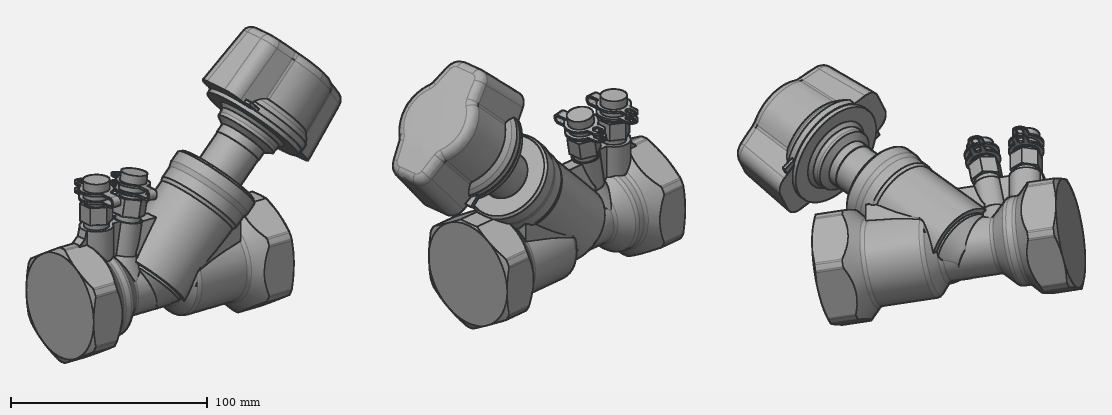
import cadquery as cq
import math


BODY_LENGTH = 128.6
HEX_FLATS = 56.0
HEX_CORNER_RADIUS = 31.2
HEX_EDGE_BREAK = 1.4
HEX_CONE_START = 15.2
OUTLET_HEX_CONE_START = 15.9
OUTLET_HEX_TOP = 29.0
SHOULDER_RADIUS = 22.9
INLET_SHOULDER_END = 29.2
THROAT_RADIUS = 15.05
THROAT_START = 37.5
THROAT_END = 66.0
OUTLET_PIPE_START = 72.5
OUTLET_PIPE_RADIUS = 22.4
BLEND_RADIUS = 3.0
HEX_CORNER_FILLET = 2.0
BARREL_INSET = 1.0

BONNET_TILT = 45.0
BONNET_Y = 54.9
BONNET_RADIUS = 22.0
BONNET_BOTTOM = 2.7
SEAT_DEPTH = 8.0
SEAT_RADIUS = 13.0
SEAT_LAND_RADIUS = 19.5
SEAT_LAND_BOTTOM = 1.2
LOWER_BAND_RADIUS = 22.7
LOWER_BAND_BOTTOM = 46.5
LOWER_BAND_TOP = 48.6
COLLAR_RADIUS = 23.6
COLLAR_CONE_BOTTOM = 55.0
COLLAR_BAND_BOTTOM = 57.9
COLLAR_TOP = 65.3
COLLAR_BREAK = 1.3
STEM_RADIUS = 12.6
STEM_SLEEVE_RADIUS = 12.9
STEM_SLEEVE_START = 83.5
NECK_BOTTOM = 88.5
NECK_RADIUS = 17.0
NECK_BAND_BOTTOM = 91.0
NECK_BAND_TOP = 93.0
NECK_TOP_RADIUS = 17.5
NECK_FLARE = 2.0
RING_BOTTOM = 97.3
RING_RADIUS = 56.77 / 2
PLATE_RADIUS = 27.9
PLATE_TOP = 100.0
RING_SLOPE_RADIUS = 26.8
RING_TOP_RADIUS = 24.6
RING_RIM_TOP = 103.7
RING_SLOPE_TOP = 106.5
RING_TOP = 109.2
HANDLE_BOTTOM = 99.7
HANDLE_TOP = 138.6
HANDLE_RADIUS = 25.4
HANDLE_DRAFT = 4.0
CROWN_RADIUS = 280.0
LOBE_SPAN = 72.4
LOBE_END_WIDTH = 27.0
LOBE_FLARE = 14.0
LOBE_CORNER_RADIUS = 8.0
LOBE_ROOT_RADIUS = 3.0
LOBE_ROOT_ANGLE = 42.0
LUG_X = (12.0, 19.8)
LUG_REACH = (20.0, 27.5)
LUG_THICKNESS = 1.8
HANDLE_TOP_FILLET = 5.0

FITTING_NECK_RADIUS = 6.5
FITTING_NECK_HEIGHT = 3.1
FITTING_HEX_FLATS = 14.6
FITTING_HEX_TOP = 12.5
FITTING_GROOVE_RADIUS = 6.1
FITTING_CAP_RADIUS = 6.8
FITTING_CAP_BOTTOM = 14.5
FITTING_HEIGHT = 25.2
STRAP_THICKNESS = 1.1
STRAP_HEIGHTS = (14.9, 19.3)
STRAP_DISC_RADIUS = 8.9
STRAP_TAB_X = -12.0
STRAP_TAB_WIDTH = 7.5
STRAP_SLOT_LENGTH = 6.0
STRAP_SLOT_WIDTH = 3.4
STRAP_TAIL_WIDTH = 5.0
STRAP_BEND_X = 14.4
INLET_FITTING_Y = 23.4
INLET_BOSS_RADIUS = 8.7
INLET_BOSS_TOP = 38.3
THROAT_FITTING_Y = 43.5
THROAT_FITTING_TILT = 9.7
THROAT_BOSS_RADIUS = 7.4
THROAT_BOSS_TOP = 36.7
FLARE_TOP = 19.0
FLARE_BOTTOM = 6.0
FLARE_RADIUS = 13.5
WEB_THICKNESS = 6.0
WEB_START_Y = 10.0
WEB_START_HEIGHT = 30.6
WEB_TIP_Y = 13.7
WEB_TIP_HEIGHT = 34.0
WEB_STEP_Y = 36.0
WEB_END_Y = 59.0
WEB_END_TOP = 35.0
WEB_CREST_WIDTH = 7.0
WEB_FOOT_WIDTH = 21.0

GUSSET_Y = (71.0, 103.5)
GUSSET_HALF_WIDTHS = (21.3, 16.4)
GUSSET_TOP = 25.0
GUSSET_LEAN = 8.0


def turned(profile):
    """Revolve a (radius, height) profile about the local Z axis."""
    return cq.Workplane("XZ").polyline(profile).close().revolve(360, (0, 0, 0), (0, 1, 0))


def cylinder(radius, bottom, top):
    return cq.Workplane("XY").workplane(offset=bottom).circle(radius).extrude(top - bottom)


def lean(shape, tilt, y, z=0):
    """Tip a shape built along Z toward +Y, then move its origin to (0, y, z)."""
    return shape.rotate((0, 0, 0), (1, 0, 0), -tilt).translate((0, y, z))


def along_pipe(shape):
    return shape.rotate((0, 0, 0), (1, 0, 0), -90)


def hexagon(flats, bottom, top, corner_angle=0.0):
    across_corners = flats / math.cos(math.pi / 6)
    prism = cq.Workplane("XY").workplane(offset=bottom).polygon(6, across_corners).extrude(top - bottom)
    return prism.rotate((0, 0, 0), (0, 0, 1), corner_angle)


def hex_end(cone_start, pipe_radius):
    """Hexagon end from Z = 0 upward, chamfered at the face and coned down to the pipe."""
    face_radius = HEX_FLATS / 2
    cone_end = cone_start + HEX_CORNER_RADIUS - pipe_radius
    trim = turned([
        (0, 0),
        (face_radius, 0),
        (HEX_CORNER_RADIUS, HEX_EDGE_BREAK),
        (HEX_CORNER_RADIUS, cone_start),
        (pipe_radius, cone_end),
        (0, cone_end),
    ])
    prism = hexagon(HEX_FLATS, 0, cone_end, 90).intersect(cylinder(HEX_CORNER_RADIUS, 0, cone_end))
    return prism.edges("|Z").fillet(HEX_CORNER_FILLET).intersect(trim)


def pipe_body():
    barrel = turned([
        (0, BARREL_INSET),
        (SHOULDER_RADIUS, BARREL_INSET),
        (SHOULDER_RADIUS, INLET_SHOULDER_END),
        (THROAT_RADIUS, THROAT_START),
        (THROAT_RADIUS, THROAT_END),
        (OUTLET_PIPE_RADIUS, OUTLET_PIPE_START),
        (OUTLET_PIPE_RADIUS, BODY_LENGTH - BARREL_INSET),
        (0, BODY_LENGTH - BARREL_INSET),
    ])
    inlet = hex_end(HEX_CONE_START, SHOULDER_RADIUS)
    outlet = hex_end(OUTLET_HEX_CONE_START, OUTLET_PIPE_RADIUS)
    body = barrel.union(inlet).union(outlet.mirror("XY").translate((0, 0, BODY_LENGTH)))
    first_bend = (-HEX_FLATS, -HEX_FLATS, HEX_CONE_START + BLEND_RADIUS)
    last_bend = (HEX_FLATS, HEX_FLATS, BODY_LENGTH - OUTLET_HEX_CONE_START - BLEND_RADIUS)
    bends = body.edges(cq.selectors.BoxSelector(first_bend, last_bend))
    body = along_pipe(bends.fillet(BLEND_RADIUS))
    clearance = cq.Workplane("XY").box(HEX_FLATS, BODY_LENGTH, HEX_FLATS)
    return body.cut(clearance.translate((0, BODY_LENGTH, OUTLET_HEX_TOP + HEX_FLATS / 2)))


def bonnet():
    return turned([
        (0, -SEAT_DEPTH),
        (SEAT_RADIUS, -SEAT_DEPTH),
        (SEAT_LAND_RADIUS, SEAT_LAND_BOTTOM),
        (SEAT_LAND_RADIUS, BONNET_BOTTOM),
        (BONNET_RADIUS, BONNET_BOTTOM),
        (BONNET_RADIUS, LOWER_BAND_BOTTOM),
        (LOWER_BAND_RADIUS, LOWER_BAND_TOP),
        (LOWER_BAND_RADIUS, COLLAR_CONE_BOTTOM),
        (COLLAR_RADIUS, COLLAR_BAND_BOTTOM),
        (COLLAR_RADIUS, COLLAR_TOP - COLLAR_BREAK),
        (COLLAR_RADIUS - COLLAR_BREAK, COLLAR_TOP),
        (0, COLLAR_TOP),
    ])


def stem_and_neck():
    return turned([
        (0, 0),
        (STEM_RADIUS, 0),
        (STEM_RADIUS, STEM_SLEEVE_START),
        (STEM_SLEEVE_RADIUS, STEM_SLEEVE_START),
        (STEM_SLEEVE_RADIUS, NECK_BOTTOM),
        (NECK_RADIUS, NECK_BAND_BOTTOM),
        (NECK_RADIUS, NECK_BAND_TOP),
        (NECK_TOP_RADIUS, RING_BOTTOM - NECK_FLARE),
        (NECK_TOP_RADIUS + NECK_FLARE, RING_BOTTOM),
        (PLATE_RADIUS, RING_BOTTOM),
        (PLATE_RADIUS, PLATE_TOP),
        (RING_RADIUS, PLATE_TOP),
        (RING_RADIUS, RING_RIM_TOP),
        (RING_SLOPE_RADIUS, RING_SLOPE_TOP),
        (RING_TOP_RADIUS, RING_TOP),
        (0, RING_TOP),
    ])


def lobe_pair(height):
    """Two opposed grip lobes that widen from their ends toward the handle axis."""
    end_y = LOBE_SPAN / 2
    end_x = LOBE_END_WIDTH / 2
    middle_x = end_x + end_y * math.tan(math.radians(LOBE_FLARE))
    outline = [
        (end_x, end_y),
        (middle_x, 0),
        (end_x, -end_y),
        (-end_x, -end_y),
        (-middle_x, 0),
        (-end_x, end_y),
    ]
    lobes = cq.Workplane("XY").polyline(outline).close().extrude(height, taper=HANDLE_DRAFT)
    for x in (-end_x, end_x):
        for y in (-end_y, end_y):
            corner = cq.selectors.NearestToPointSelector((x, y, height / 2))
            lobes = lobes.edges(corner).fillet(LOBE_CORNER_RADIUS)
    return lobes


def lug():
    width = LUG_X[1] - LUG_X[0]
    length = LUG_REACH[1] - LUG_REACH[0]
    block = cq.Workplane("XY").box(width, length, LUG_THICKNESS, centered=False)
    return block.translate((LUG_X[0], -LUG_REACH[1], PLATE_TOP))


def handle():
    height = HANDLE_TOP - HANDLE_BOTTOM
    drum = cq.Workplane("XY").circle(HANDLE_RADIUS).extrude(height, taper=HANDLE_DRAFT)
    lobes = lobe_pair(height)
    root_angle = math.radians(LOBE_ROOT_ANGLE)
    grip = drum.union(lobes)
    root_x = HANDLE_RADIUS * math.sin(root_angle)
    root_y = HANDLE_RADIUS * math.cos(root_angle)
    for x in (-root_x, root_x):
        for y in (-root_y, root_y):
            root = cq.selectors.NearestToPointSelector((x, y, height / 2))
            grip = grip.edges(root).fillet(LOBE_ROOT_RADIUS)
    crown = cq.Workplane("XY").sphere(CROWN_RADIUS).translate((0, 0, height - CROWN_RADIUS))
    grip = grip.intersect(crown)
    grip = grip.faces("%SPHERE").edges().fillet(HANDLE_TOP_FILLET)
    grip = grip.translate((0, 0, HANDLE_BOTTOM))
    opposite_lug = lug().rotate((0, 0, 0), (0, 0, 1), 180)
    return grip.union(lug()).union(opposite_lug)


def strap_leaf(bottom):
    def sheet(x):
        return cq.Workplane("XY", origin=(x, 0, bottom))

    disc = sheet(0).circle(STRAP_DISC_RADIUS).extrude(STRAP_THICKNESS)
    tab_length = STRAP_TAB_WIDTH - STRAP_TAB_X
    tab = sheet(STRAP_TAB_X / 2).slot2D(tab_length, STRAP_TAB_WIDTH).extrude(STRAP_THICKNESS)
    tail = sheet(STRAP_BEND_X / 2).rect(STRAP_BEND_X, STRAP_TAIL_WIDTH).extrude(STRAP_THICKNESS)
    slot = sheet(STRAP_TAB_X).slot2D(STRAP_SLOT_LENGTH, STRAP_SLOT_WIDTH).extrude(STRAP_THICKNESS)
    return disc.union(tab).union(tail).cut(slot)


def strap():
    """Two leaves round the cap, joined at the tail by a half-round bend."""
    low, high = STRAP_HEIGHTS
    outer = (high + STRAP_THICKNESS - low) / 2
    bend = (
        cq.Workplane("XZ")
        .center(STRAP_BEND_X, low + outer)
        .circle(outer)
        .circle(outer - STRAP_THICKNESS)
        .extrude(STRAP_TAIL_WIDTH / 2, both=True)
    )
    half_space = cq.Workplane("XY").box(outer, STRAP_TAIL_WIDTH, 2 * outer, centered=(False, True, False))
    beyond = half_space.translate((STRAP_BEND_X, 0, low))
    return strap_leaf(low).union(strap_leaf(high)).union(bend.intersect(beyond))


def fitting():
    groove = cylinder(FITTING_GROOVE_RADIUS, 0, FITTING_HEIGHT)
    neck = cylinder(FITTING_NECK_RADIUS, 0, FITTING_NECK_HEIGHT)
    nut = hexagon(FITTING_HEX_FLATS, FITTING_NECK_HEIGHT, FITTING_HEX_TOP)
    cap = cylinder(FITTING_CAP_RADIUS, FITTING_CAP_BOTTOM, FITTING_HEIGHT)
    return groove.union(neck).union(nut).union(cap).union(strap())


def inlet_fitting():
    boss = cylinder(INLET_BOSS_RADIUS, -INLET_BOSS_TOP, 0)
    return lean(fitting().union(boss), 0, INLET_FITTING_Y, INLET_BOSS_TOP)


def throat_fitting():
    boss = turned([
        (0, -THROAT_BOSS_TOP),
        (FLARE_RADIUS, -THROAT_BOSS_TOP),
        (FLARE_RADIUS, FLARE_BOTTOM - THROAT_BOSS_TOP),
        (THROAT_BOSS_RADIUS, FLARE_TOP - THROAT_BOSS_TOP),
        (THROAT_BOSS_RADIUS, 0),
        (0, 0),
    ])
    return lean(fitting().union(boss), THROAT_FITTING_TILT, THROAT_FITTING_Y, THROAT_BOSS_TOP)


def fitting_web():
    """Upright rib that ties the bosses to the bonnet and to the inlet hexagon."""
    outline = [
        (WEB_START_Y, 0),
        (WEB_START_Y, WEB_START_HEIGHT),
        (WEB_TIP_Y, WEB_TIP_HEIGHT),
        (INLET_FITTING_Y - INLET_BOSS_RADIUS, INLET_BOSS_TOP),
        (WEB_STEP_Y, INLET_BOSS_TOP),
        (THROAT_FITTING_Y, WEB_END_TOP),
        (WEB_END_Y, WEB_END_TOP),
        (WEB_END_Y, 0),
    ]
    return cq.Workplane("YZ").polyline(outline).close().extrude(WEB_THICKNESS / 2, both=True)


def bonnet_web():
    """Rib between the throat boss and the bonnet, widening toward its foot."""
    section = [
        (-WEB_FOOT_WIDTH / 2, FLARE_BOTTOM),
        (WEB_FOOT_WIDTH / 2, FLARE_BOTTOM),
        (WEB_CREST_WIDTH / 2, WEB_END_TOP),
        (-WEB_CREST_WIDTH / 2, WEB_END_TOP),
    ]
    start = cq.Workplane("XZ", origin=(0, THROAT_FITTING_Y, 0))
    return start.polyline(section).close().extrude(THROAT_FITTING_Y - WEB_END_Y)


def crotch_gusset():
    near_y, far_y = GUSSET_Y
    near_x, far_x = GUSSET_HALF_WIDTHS
    plan = [(near_x, near_y), (far_x, far_y), (-far_x, far_y), (-near_x, near_y)]
    side = [
        (near_y, 0),
        (far_y, 0),
        (far_y, GUSSET_TOP),
        (near_y + GUSSET_LEAN, GUSSET_TOP),
    ]
    block = cq.Workplane("XY").polyline(plan).close().extrude(GUSSET_TOP)
    return block.intersect(cq.Workplane("YZ").polyline(side).close().extrude(near_x, both=True))


result = pipe_body().union(crotch_gusset())
for tilted_part in (bonnet(), stem_and_neck(), handle()):
    result = result.union(lean(tilted_part, BONNET_TILT, BONNET_Y))
for pressure_part in (fitting_web(), bonnet_web(), inlet_fitting(), throat_fitting()):
    result = result.union(pressure_part)